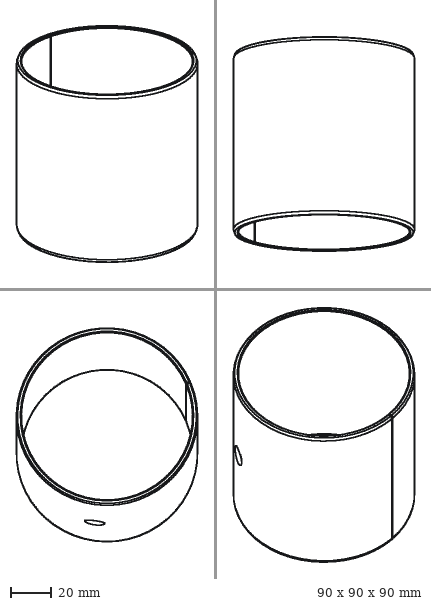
import cadquery as cq

outer_diameter = 90.0
length = 90.0
wall = 2.5
outer_chamfer_height = 1.6
outer_chamfer_depth = 0.6
inner_chamfer = 0.5
slit_angle = 1.0
oil_hole_diameter = 10.0
oil_hole_angle = 59.0

outer_radius = outer_diameter / 2
inner_radius = outer_radius - wall
half_length = length / 2


def make_sleeve():
    """Revolve the wall section, bevelled at both rims, leaving the butt joint open."""
    rim_outer = outer_radius - outer_chamfer_depth
    rim_inner = inner_radius + inner_chamfer
    outer_edge = half_length - outer_chamfer_height
    inner_edge = half_length - inner_chamfer
    section = [
        (inner_radius, -inner_edge),
        (rim_inner, -half_length),
        (rim_outer, -half_length),
        (outer_radius, -outer_edge),
        (outer_radius, outer_edge),
        (rim_outer, half_length),
        (rim_inner, half_length),
        (inner_radius, inner_edge),
    ]
    profile = cq.Workplane("XZ").polyline(section).close()
    sleeve = profile.revolve(360 - slit_angle, (0, 0), (0, 1))
    return sleeve.rotate((0, 0, 0), (0, 0, 1), 180)


def make_oil_hole():
    """Radial cutter from the axis out through one wall at mid-length."""
    along_x = cq.Workplane("YZ").circle(oil_hole_diameter / 2).extrude(outer_diameter)
    return along_x.rotate((0, 0, 0), (0, 0, 1), oil_hole_angle)


result = make_sleeve().cut(make_oil_hole())